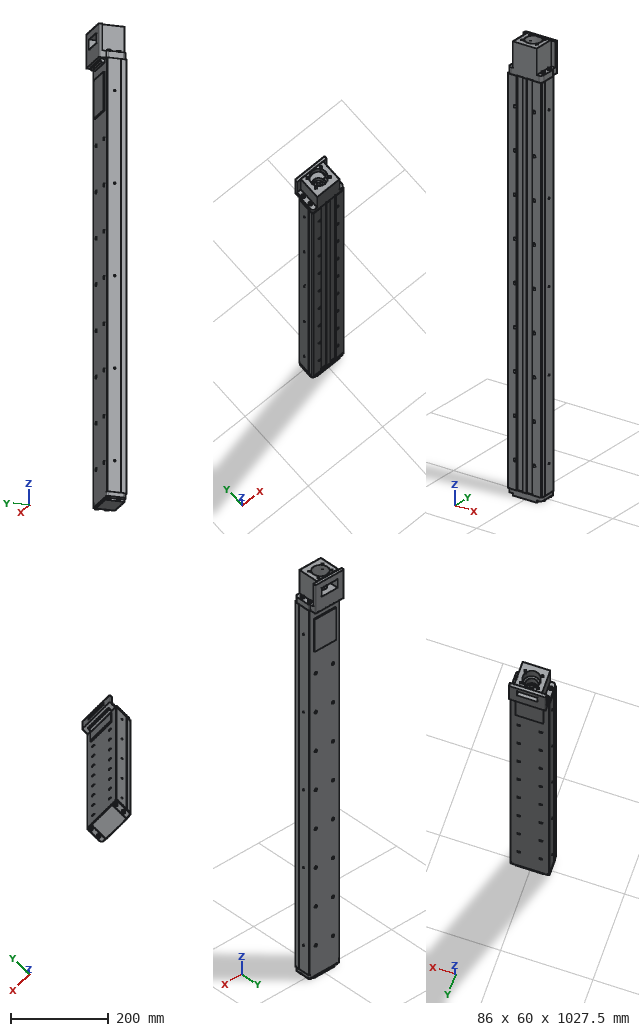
import cadquery as cq

total_length = 1027.5
total_depth = 60.0

body_width = 86.0
body_depth = 44.0
body_bottom = 14.5
body_top = 952.5
body_front_chamfer = 2.5
body_rear_chamfer = 1.5
recess_width = 40.0
recess_depth = 4.0
rib_width = 9.2
side_groove_y = 13.0
side_groove_width = 1.0
side_groove_depth = 1.0

hole_pitch = 100.0
hole_count = 9
first_hole_z = 82.5
mount_hole_x = 24.0
mount_hole_diameter = 6.6
side_hole_pitch = 2 * hole_pitch
side_hole_count = 5
side_hole_y = 27.0
side_hole_diameter = 3.24
side_hole_depth = 8.0

plate_side_inset = 0.5
plate_width = body_width - 2 * plate_side_inset
plate_front_y = 1.0
block_width = 60.0
bottom_plate_z = 5.0
bottom_block_rear_y = 43.0
motor_block_height = 60.0
motor_block_rear_y = 53.0
plate_front_radius = 7.0
plate_rear_radius = 3.0
screw_head_diameter = 8.0
screw_head_height = 3.5
screw_x = 36.0
screw_front_y = 16.0
screw_rear_y = 38.0
screw_socket_diameter = 4.0
screw_socket_depth = 2.0

bracket_width = 80.0
bracket_top = total_length - 2.0
ledge_front_y = 41.0
bracket_edge_radius = 1.5
lip_depth = 9.5
lip_height = 7.0
lip_chamfer = 3.0

bore_y = 32.0
bore_diameter = 38.0
bore_depth = 30.0
inner_bore_diameter = 28.0
inner_bore_depth = 25.0
hub_diameter = 16.0
hub_height = 15.0
hub_bore_diameter = 8.0
motor_screw_spacing_x = 37.0
motor_screw_spacing_y = 28.0
motor_screw_diameter = 5.0
motor_screw_depth = 12.0
window_width = 44.0
window_height = 22.0
window_top_depth = 18.0

carriage_width = 60.0
carriage_length = 83.0
carriage_thickness = 3.0
carriage_bottom = 842.0

flange_top = total_length - motor_block_height
screw_points = [(side * screw_x, y) for side in (-1, 1) for y in (screw_front_y, screw_rear_y)]


def block(x_size, y_min, y_max, z_min, z_max):
    """Box centred on X, given by its Y and Z limits."""
    base = cq.Workplane("XY", origin=(0, y_min, z_min))
    return base.box(x_size, y_max - y_min, z_max - z_min, centered=(True, False, False))


def bore_cylinder(z, diameter, height):
    """Cylinder on the motor axis, rising from Z."""
    return cq.Workplane("XY", origin=(0, bore_y, z)).circle(diameter / 2).extrude(height)


def make_body():
    """Extruded profile with a front recess, a rib in it and a thin groove in each side."""
    body = block(body_width, 0, body_depth, body_bottom, body_top)
    body = body.faces("<Y").edges("|Z").chamfer(body_front_chamfer)
    body = body.faces(">Y").edges("|Z").chamfer(body_rear_chamfer)
    recess = block(recess_width, 0, recess_depth, body_bottom, body_top)
    rib = block(rib_width, 0, recess_depth, body_bottom, body_top)
    body = body.cut(recess.cut(rib))
    for side in (-1, 1):
        groove_front = side_groove_y - side_groove_width / 2
        groove_rear = side_groove_y + side_groove_width / 2
        groove = block(2 * side_groove_depth, groove_front, groove_rear, body_bottom, body_top)
        body = body.cut(groove.translate((side * body_width / 2, 0, 0)))
    return body


def make_plate(z_min, z_max):
    plate = block(plate_width, plate_front_y, body_depth, z_min, z_max)
    plate = plate.faces("<Y").edges("|Z").fillet(plate_front_radius)
    return plate.faces(">Y").edges("|Z").fillet(plate_rear_radius)


def screw_heads(z_min):
    heads = cq.Workplane("XY", origin=(0, 0, z_min))
    return heads.pushPoints(screw_points).circle(screw_head_diameter / 2).extrude(screw_head_height)


def screw_sockets(z_min):
    sockets = cq.Workplane("XY", origin=(0, 0, z_min))
    return sockets.pushPoints(screw_points).circle(screw_socket_diameter / 2).extrude(screw_socket_depth)


def make_bottom_end():
    plate = make_plate(bottom_plate_z, body_bottom)
    centre = block(block_width, plate_front_y, bottom_block_rear_y, 0, body_bottom)
    heads_bottom = bottom_plate_z - screw_head_height
    bottom_end = plate.union(centre).union(screw_heads(heads_bottom))
    return bottom_end.cut(screw_sockets(heads_bottom))


def make_motor_housing():
    housing = make_plate(body_top, flange_top)
    motor_block = block(block_width, plate_front_y, motor_block_rear_y, body_top, total_length)
    housing = housing.union(motor_block)
    housing = housing.union(make_bracket()).union(screw_heads(flange_top))
    housing = housing.cut(screw_sockets(flange_top + screw_head_height - screw_socket_depth))
    return housing.cut(motor_cavity()).cut(motor_screw_holes())


def make_bracket():
    """Back plate of the motor housing with a ledge behind the body and a lip below it."""
    back_plate = block(bracket_width, motor_block_rear_y, total_depth, body_top, bracket_top)
    ledge = block(bracket_width, ledge_front_y, total_depth, body_top, flange_top)
    bracket = back_plate.union(ledge).faces(">Y").edges("|Z").fillet(bracket_edge_radius)
    lip = block(block_width, body_depth, body_depth + lip_depth, body_top - lip_height, body_top)
    return bracket.union(lip.faces(">Y").edges("<Z").chamfer(lip_chamfer))


def motor_cavity():
    step_z = total_length - bore_depth
    floor_z = step_z - inner_bore_depth
    window_top = total_length - window_top_depth
    hub = bore_cylinder(floor_z, hub_diameter, hub_height)
    hub_bore = bore_cylinder(floor_z, hub_bore_diameter, hub_height)
    cavity = bore_cylinder(step_z, bore_diameter, bore_depth)
    cavity = cavity.union(bore_cylinder(floor_z, inner_bore_diameter, inner_bore_depth))
    cavity = cavity.cut(hub.cut(hub_bore))
    window = block(window_width, bore_y, total_depth, window_top - window_height, window_top)
    return cavity.union(window)


def motor_screw_holes():
    holes = cq.Workplane("XY", origin=(0, bore_y, total_length))
    holes = holes.rect(motor_screw_spacing_x, motor_screw_spacing_y, forConstruction=True).vertices()
    return holes.circle(motor_screw_diameter / 2).extrude(-motor_screw_depth)


def make_actuator():
    actuator = make_body().union(make_bottom_end()).union(make_motor_housing())
    return actuator.cut(mount_holes()).cut(side_holes())


def mount_holes():
    points = [
        (side * mount_hole_x, first_hole_z + i * hole_pitch)
        for side in (-1, 1)
        for i in range(hole_count)
    ]
    holes = cq.Workplane("XZ").pushPoints(points)
    return holes.circle(mount_hole_diameter / 2).extrude(-body_depth)


def side_holes():
    points = [(side_hole_y, first_hole_z + i * side_hole_pitch) for i in range(side_hole_count)]
    holes = cq.Workplane("XY")
    for side in (-1, 1):
        face = cq.Workplane("YZ", origin=(side * body_width / 2, 0, 0)).pushPoints(points)
        holes = holes.add(face.circle(side_hole_diameter / 2).extrude(-side * side_hole_depth))
    return holes.combine()


def make_carriage():
    carriage_rear_y = body_depth + carriage_thickness
    carriage_top = carriage_bottom + carriage_length
    return block(carriage_width, body_depth, carriage_rear_y, carriage_bottom, carriage_top)


actuator = make_actuator()
carriage = make_carriage()

result = cq.Compound.makeCompound([actuator.val(), carriage.val()])